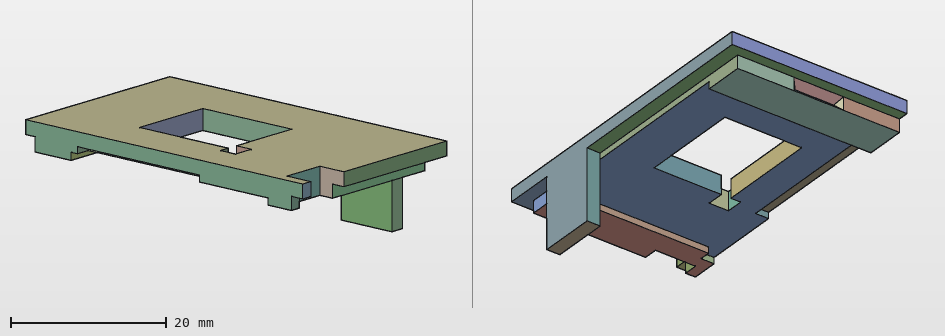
import cadquery as cq

length = 47.45
width = 28.0
plate_thickness = 2.0

core_left = 1.6
core_right = 45.5
core_depth = 2.95

rail_right = 7.8
rail_depth = 4.05
groove_front = 8.95
groove_back = 16.95
groove_inset = 0.9
groove_ridge_depth = 3.15

foot_left = 41.45
foot_depth = 3.9

tab_left = 31.15
tab_right = 39.85
tab_thickness = 2.1
total_depth = 13.05

window_left = 13.45
window_right = 28.7
window_front = 6.85
window_back = 19.1
relief_right = 31.3
relief_front = 5.25
relief_back = 8.35

notch_left = 43.35
notch_front = 1.55
notch_back = 7.95

recess_left = 8.85
recess_right = 29.75
front_lip = 2.1


def block(x_range, y_range, depth_range):
    """Box between two X values, two Y values and two depths below the top."""
    size_x = x_range[1] - x_range[0]
    size_y = y_range[1] - y_range[0]
    size_z = depth_range[1] - depth_range[0]
    corner = (x_range[0], y_range[0], -depth_range[1])
    return cq.Workplane("XY").box(size_x, size_y, size_z, centered=False).translate(corner)


def finger_groove():
    """V groove running along Y whose two ends slope in to the ridge."""
    profile = [
        (core_left, -plate_thickness),
        (core_left + groove_inset, -groove_ridge_depth),
        (core_left, -rail_depth),
    ]
    groove_length = groove_back - groove_front
    vee = (
        cq.Workplane("XZ", origin=(0, groove_back, 0))
        .polyline(profile)
        .close()
        .extrude(groove_length)
    )
    trapezoid = [
        (core_left, groove_front),
        (core_left, groove_back),
        (core_left + groove_inset, groove_back - groove_inset),
        (core_left + groove_inset, groove_front + groove_inset),
    ]
    sloped_ends = (
        cq.Workplane("XY", origin=(0, 0, -rail_depth))
        .polyline(trapezoid)
        .close()
        .extrude(rail_depth)
    )
    return vee.intersect(sloped_ends)


core_back = width - tab_thickness
core_span = (0, core_back)

plate = block((0, length), (0, width), (0, plate_thickness))
core = block((core_left, core_right), core_span, (0, core_depth))
rail = block((core_left, rail_right), core_span, (0, rail_depth))
foot = block((foot_left, core_right), core_span, (0, foot_depth))
wide_foot = block((tab_right, core_right), (front_lip, core_back), (0, foot_depth))
tab = block((tab_left, tab_right), (core_back, width), (0, total_depth))
body = plate.union(core).union(rail).union(foot).union(wide_foot).union(tab)

window = block((window_left, window_right), (window_front, window_back), (0, total_depth))
relief = block((window_right, relief_right), (relief_front, relief_back), (0, total_depth))
notch = block((notch_left, length), (notch_front, notch_back), (0, total_depth))
recess = block((recess_left, recess_right), (0, front_lip), (plate_thickness, core_depth))

result = body.cut(window).cut(relief).cut(notch).cut(recess).cut(finger_groove())